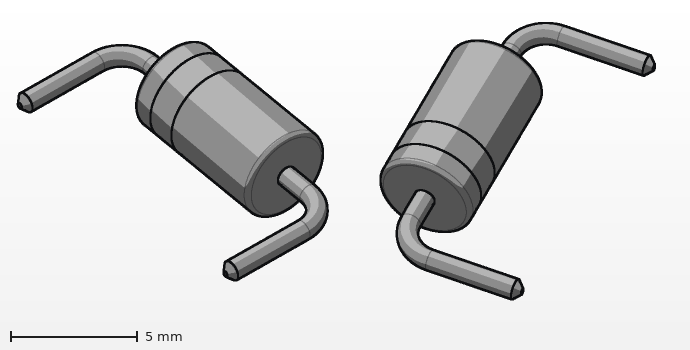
import cadquery as cq


housing_length = 7.0
housing_diameter = 4.0
housing_edge_radius = 0.2
housing_end = housing_length / 2

band_offset = 1.0
band_width = 1.3
band_thickness = 0.2
band_start = -housing_end + band_offset

wire_diameter = 0.86
leg_pitch = 12.7
leg_reach = 5.5
bend_radius = 1.5
tip_chamfer = 0.3
leg_x = leg_pitch / 2
bend_start_x = leg_x - bend_radius


def cylinder_along_x(start_x, length, diameter):
    """Solid cylinder on the housing axis, growing toward +X."""
    return cq.Workplane("YZ", origin=(start_x, 0, 0)).circle(diameter / 2).extrude(length)


def make_band():
    """Ring whose outer face is flush with the housing."""
    inner_diameter = housing_diameter - 2 * band_thickness
    outer = cylinder_along_x(band_start, band_width, housing_diameter)
    return outer.cut(cylinder_along_x(band_start, band_width, inner_diameter))


def make_housing(band):
    """Round-edged cylinder with a groove for the band and a through bore for the wire."""
    blank = cylinder_along_x(-housing_end, housing_length, housing_diameter)
    rounded = blank.edges().fillet(housing_edge_radius)
    bore = cylinder_along_x(-housing_end, housing_length, wire_diameter)
    return rounded.cut(band).cut(bore)


def make_wire():
    """Continuous round wire with a bent leg at each end and chamfered tips."""
    path = (
        cq.Workplane("XY")
        .moveTo(-leg_x, -leg_reach)
        .lineTo(-leg_x, -bend_radius)
        .tangentArcPoint((-bend_start_x, 0), relative=False)
        .lineTo(bend_start_x, 0)
        .tangentArcPoint((leg_x, -bend_radius), relative=False)
        .lineTo(leg_x, -leg_reach)
    )
    section = cq.Workplane("XZ", origin=(-leg_x, -leg_reach, 0)).circle(wire_diameter / 2)
    wire = section.sweep(path)
    return wire.faces("<Y").edges().chamfer(tip_chamfer)


band = make_band()
housing = make_housing(band)
lead_wire = make_wire()

bodies = [body.solids().val() for body in (housing, band, lead_wire)]
result = cq.Compound.makeCompound(bodies)